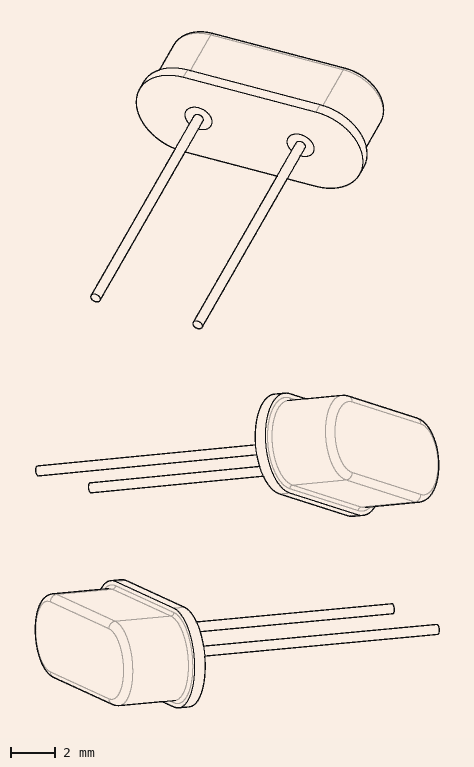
import cadquery as cq

total_length = 16.38
flange_width = 10.85
flange_height = 4.5
flange_thickness = 0.52

flange_step = 0.35
body_length = 3.7
can_edge_radius = 0.31
can_root_radius = 0.15

lead_diameter = 0.46
lead_spacing = 4.88
insulator_diameter = 1.3
insulator_depth = flange_thickness

can_width = flange_width - 2 * flange_step
can_height = flange_height - 2 * flange_step
lead_length = total_length - body_length
lead_positions = [-lead_spacing / 2, lead_spacing / 2]


def cylinder_along_y(diameter, x, y_start, y_end):
    """Round bar parallel to Y, centred at the given X and Z = 0."""
    return cq.Workplane(
        cq.Solid.makeCylinder(
            diameter / 2, y_end - y_start, cq.Vector(x, y_start, 0), cq.Vector(0, 1, 0)
        )
    )


def oblong_along_y(width, height, y_start, y_end):
    """Block with semicircular ends, extruded along +Y."""
    return (
        cq.Workplane("XZ", origin=(0, y_start, 0))
        .slot2D(width, height)
        .extrude(y_start - y_end)
    )


def make_housing():
    """Flange and can in one piece, with a blind hole for each insulator."""
    flange = oblong_along_y(flange_width, flange_height, 0, flange_thickness)
    can = oblong_along_y(can_width, can_height, 0, body_length)
    can = can.faces(">Y").edges().fillet(can_edge_radius)
    housing = flange.union(can)

    root_point = (0, flange_thickness, can_height / 2)
    root_edge = cq.selectors.NearestToPointSelector(root_point)
    housing = housing.edges(root_edge).fillet(can_root_radius)

    for x in lead_positions:
        housing = housing.cut(cylinder_along_y(insulator_diameter, x, 0, insulator_depth))
    return housing


def make_insulator(x):
    """Ring flush with the flange's outer face, bored through for the lead."""
    ring = cylinder_along_y(insulator_diameter, x, 0, insulator_depth)
    bore = cylinder_along_y(lead_diameter, x, 0, insulator_depth)
    return ring.cut(bore)


def make_lead(x):
    """Straight wire running through the insulator and out of the flange."""
    return cylinder_along_y(lead_diameter, x, -lead_length, insulator_depth)


housing = make_housing()
insulators = [make_insulator(x).val() for x in lead_positions]
leads = [make_lead(x).val() for x in lead_positions]

result = cq.Compound.makeCompound([housing.val(), *insulators, *leads])